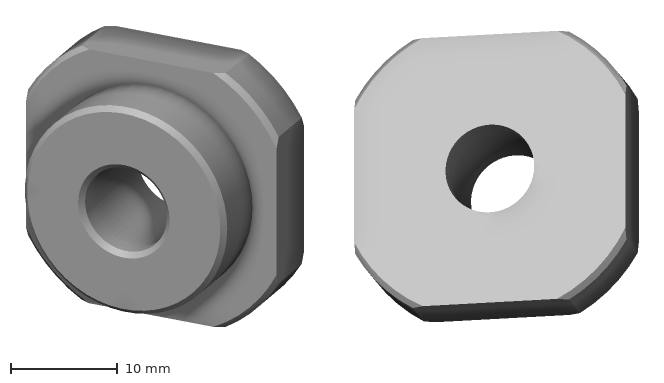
import cadquery as cq

width = 26.0
flange_thickness = 6.0
corner_radius = 15.0

boss_diameter = 21.0
boss_length = 6.0

bore_diameter = 8.5

chamfer = 0.5


def cylinder(radius, length):
    """Cylinder along Y, running from Y = 0 towards -Y."""
    return cq.Workplane("XZ").circle(radius).extrude(length)


def make_flange():
    """Chamfered disc trimmed to a square, with its -Y face on Y = 0."""
    disc = cylinder(corner_radius, flange_thickness).edges().chamfer(chamfer)
    square = cq.Workplane("XZ").rect(width, width).extrude(flange_thickness)
    return disc.intersect(square).translate((0, flange_thickness, 0))


def make_boss():
    """Round boss with a chamfered outer rim."""
    return cylinder(boss_diameter / 2, boss_length).faces("<Y").edges().chamfer(chamfer)


def cut_bore(body):
    """Bore through the whole part, chamfered where it opens in the boss face."""
    bored = body.faces("<Y").workplane(centerOption="CenterOfMass").hole(bore_diameter)
    mouth = cq.selectors.RadiusNthSelector(0)
    return bored.faces("<Y").edges(mouth).chamfer(chamfer)


result = cut_bore(make_flange().union(make_boss()))